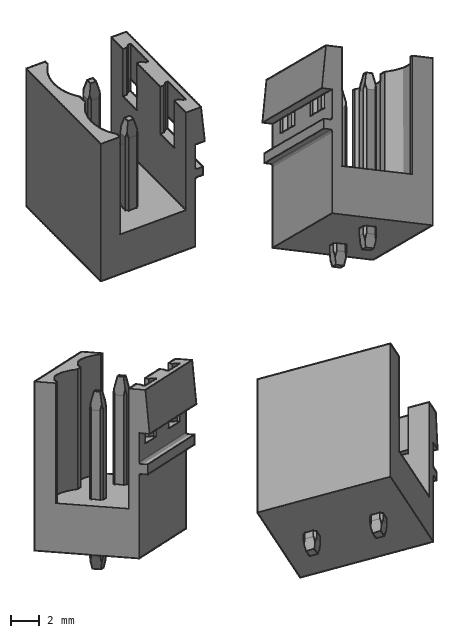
import cadquery as cq


width = 10.0
height = 12.0
overall_height = 13.5
floor_height = 3.48
front_wall = 1.55
inner_back = 6.88
outer_back = 7.65

latch_top_y = 8.11
latch_tip_y = 8.42
latch_bottom = 8.9

rib_y = 8.28
rib_bottom = 6.01
rib_top = 6.72
rib_root_radius = 0.15

pitch = 5.0
pin_y = 3.8
contact_xs = [-pitch / 2, pitch / 2]

scallop_half_width = 2.15
scallop_depth = 0.78

window_bottom = 7.88
window_half_width = 1.17
mouth_half_width = 0.93
flare_start_y = 7.18
flare_end_y = 7.47

pin_size = 1.0
pin_corner = 0.18
pin_top = 11.08
pin_bottom = height - overall_height
top_taper_start = 9.83
top_tip_size = 0.46
bottom_taper_start = -0.53
bottom_tip_size = 0.62


def housing_body():
    """U-shaped side profile, with the latch and rib, extruded across the width."""
    r = rib_root_radius
    profile = (
        cq.Workplane("YZ", origin=(-width / 2, 0, 0))
        .moveTo(0, 0)
        .lineTo(outer_back, 0)
        .lineTo(outer_back, rib_bottom - r)
        .radiusArc((outer_back + r, rib_bottom), r)
        .lineTo(rib_y, rib_bottom)
        .lineTo(rib_y, rib_top)
        .lineTo(outer_back + r, rib_top)
        .radiusArc((outer_back, rib_top + r), r)
        .lineTo(outer_back, latch_bottom)
        .lineTo(latch_tip_y, latch_bottom)
        .lineTo(latch_top_y, height)
        .lineTo(inner_back, height)
        .lineTo(inner_back, floor_height)
        .lineTo(front_wall, floor_height)
        .lineTo(front_wall, height)
        .lineTo(0, height)
        .close()
    )
    return profile.extrude(width)


def scallop_cut(x):
    """Circular segment hollowed out of the front wall, down to the floor."""
    return (
        cq.Workplane("XY", origin=(x, front_wall, floor_height))
        .moveTo(-scallop_half_width, 0)
        .threePointArc((0, -scallop_depth), (scallop_half_width, 0))
        .close()
        .extrude(height - floor_height)
    )


def window_cut(x):
    """Dovetail slot through the back wall, closed behind by the latch."""
    half_outline = [
        (mouth_half_width, inner_back),
        (mouth_half_width, flare_start_y),
        (window_half_width, flare_end_y),
        (window_half_width, outer_back),
    ]
    mirrored = [(-px, py) for px, py in reversed(half_outline)]
    return (
        cq.Workplane("XY", origin=(x, 0, window_bottom))
        .polyline(half_outline + mirrored)
        .close()
        .extrude(height - window_bottom)
    )


def pin_taper(start, end, tip_size):
    """Square frustum from the full pin size at start to the tip size at end."""
    return (
        cq.Workplane("XY", origin=(0, 0, start))
        .rect(pin_size, pin_size)
        .workplane(offset=end - start)
        .rect(tip_size, tip_size)
        .loft(ruled=True)
    )


def pin_body(x):
    """Square pin with bevelled long corners and a taper at each end."""
    bar = (
        cq.Workplane("XY", origin=(0, 0, pin_bottom))
        .rect(pin_size, pin_size)
        .extrude(pin_top - pin_bottom)
        .edges("|Z")
        .chamfer(pin_corner)
    )
    envelope = (
        cq.Workplane("XY", origin=(0, 0, bottom_taper_start))
        .rect(pin_size, pin_size)
        .extrude(top_taper_start - bottom_taper_start)
        .union(pin_taper(top_taper_start, pin_top, top_tip_size))
        .union(pin_taper(bottom_taper_start, pin_bottom, bottom_tip_size))
    )
    return bar.intersect(envelope).translate((x, pin_y, 0))


pins = [pin_body(x) for x in contact_xs]

housing = housing_body()
for contact_x in contact_xs:
    housing = housing.cut(scallop_cut(contact_x)).cut(window_cut(contact_x))
for pin in pins:
    housing = housing.cut(pin)

result = cq.Compound.makeCompound([housing.val(), *[pin.val() for pin in pins]])